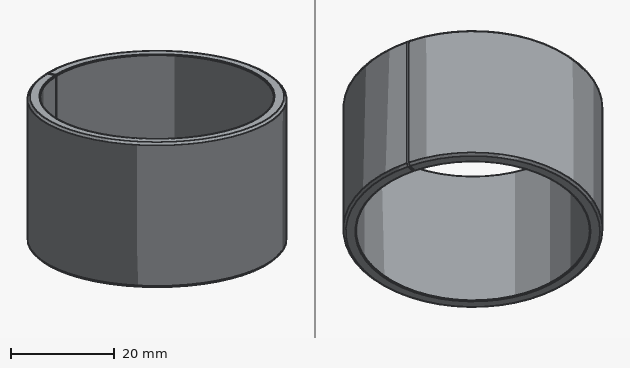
import cadquery as cq

outer_diameter = 50.0
wall_thickness = 2.5
length = 30.0
outer_chamfer = 0.5
inner_chamfer = 0.2
slit_angle = 1.0

outer_radius = outer_diameter / 2
inner_radius = outer_radius - wall_thickness


def wall_section():
    """Wall profile on the -X side, with both edges of each end chamfered."""
    return (
        cq.Workplane("XZ")
        .moveTo(-inner_radius - inner_chamfer, 0)
        .lineTo(-outer_radius + outer_chamfer, 0)
        .lineTo(-outer_radius, outer_chamfer)
        .lineTo(-outer_radius, length - outer_chamfer)
        .lineTo(-outer_radius + outer_chamfer, length)
        .lineTo(-inner_radius - inner_chamfer, length)
        .lineTo(-inner_radius, length - inner_chamfer)
        .lineTo(-inner_radius, inner_chamfer)
        .close()
    )


axis_start = (0, 0, 0)
axis_end = (0, 1, 0)
result = wall_section().revolve(360 - slit_angle, axis_start, axis_end)